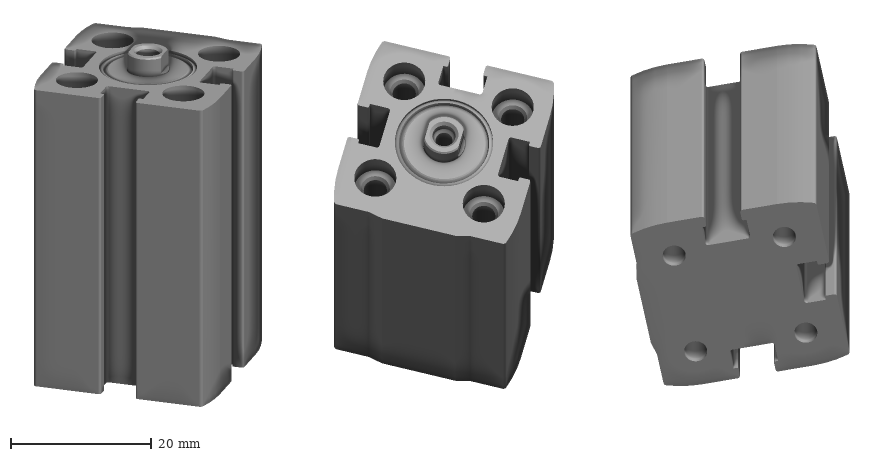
import cadquery as cq
import math

half_width = 13.5
housing_height = 45.5
side_flat_half = 8.0
side_curve_radius = 17.0
corner_radius = 0.5
crown_height = 0.5
crown_flat_half = 5.4
crown_foot_half = 7.5

slot_mouth_width = 5.2
slot_inner_width = 6.5
slot_depth = 4.75
slot_lip = 1.7
slot_mouth_radius = 0.35
slot_inner_radius = 0.4
slot_lip_radius = 0.2

screw_spacing = 16.0
screw_hole_diameter = 3.3
screw_chamfer_diameter = 4.13
counterbore_diameter = 6.0
counterbore_depth = 3.5

cap_seat_diameter = 14.0
cap_seat_drop = 0.5
cap_rim_diameter = 12.9
cap_rim_drop = 0.2
cap_groove_diameter = 12.6
cap_groove_drop = 0.7
cap_shoulder_diameter = 11.8
cap_shoulder_drop = 0.4
cap_face_diameter = 11.4
cap_face_drop = 0.3
cap_hole_chamfer = 0.1

rod_diameter = 6.0
rod_top = 48.0
rod_chamfer = 0.2
rod_flats_width = 5.0
rod_length = 20.0
flat_runout = 0.25

bore_mouth_diameter = 4.13
bore_entry_diameter = 3.3
bore_entry_depth = 1.5
bore_thread_diameter = 2.46
bore_step_height = 0.4
bore_thread_depth = 6.0
drill_half_angle = math.radians(59)

cap_face = housing_height - cap_face_drop
rod_base = rod_top - rod_length


def make_outline():
    """Outer outline of the housing, without its slots, extruded to full height."""
    curve_rise = half_width - side_flat_half
    curve_inset = side_curve_radius - math.sqrt(side_curve_radius**2 - curve_rise**2)
    middle_rise = curve_rise / 2
    middle_inset = side_curve_radius - math.sqrt(side_curve_radius**2 - middle_rise**2)
    corner_x = half_width - curve_inset
    middle_x = half_width - middle_inset
    middle_y = side_flat_half + middle_rise
    block = (
        cq.Workplane("XY")
        .moveTo(-corner_x, -half_width)
        .lineTo(corner_x, -half_width)
        .threePointArc((middle_x, -middle_y), (half_width, -side_flat_half))
        .lineTo(half_width, side_flat_half)
        .threePointArc((middle_x, middle_y), (corner_x, half_width))
        .lineTo(-corner_x, half_width)
        .threePointArc((-middle_x, middle_y), (-half_width, side_flat_half))
        .lineTo(-half_width, -side_flat_half)
        .threePointArc((-middle_x, -middle_y), (-corner_x, -half_width))
        .close()
        .extrude(housing_height)
    )
    margin = corner_radius / 2
    for x in (-corner_x, corner_x):
        for y in (-half_width, half_width):
            near_corner = cq.selectors.BoxSelector(
                (x - margin, y - margin, 0),
                (x + margin, y + margin, housing_height),
            )
            block = block.edges("|Z").edges(near_corner).fillet(corner_radius)
    crown = (
        cq.Workplane("XY")
        .moveTo(-crown_foot_half, half_width)
        .lineTo(crown_foot_half, half_width)
        .lineTo(crown_flat_half, half_width + crown_height)
        .lineTo(-crown_flat_half, half_width + crown_height)
        .close()
        .extrude(housing_height)
    )
    return block.union(crown)


def make_corner_flare(x, y, radius, inward):
    """Cutter that rounds the slot's lip corner at (x, y); the lip lies to its +Y (1) or -Y (-1) side."""
    outward = math.copysign(1, x)
    arc_mid = radius * (1 - math.sqrt(0.5))
    return (
        cq.Workplane("XY")
        .moveTo(x, y)
        .lineTo(x, y + inward * radius)
        .threePointArc((x + outward * arc_mid, y + inward * arc_mid), (x + outward * radius, y))
        .close()
        .extrude(housing_height)
    )


def make_slot():
    """Cutter for the T-slot that opens in the front face."""
    mouth = slot_mouth_width / 2
    floor = slot_depth - half_width
    shoulder = slot_lip - half_width
    chamber = (
        cq.Workplane("XY")
        .rect(slot_inner_width, slot_depth - slot_lip)
        .extrude(housing_height)
        .translate((0, (floor + shoulder) / 2, 0))
        .edges("|Z and >Y")
        .fillet(slot_inner_radius)
    )
    opening = (
        cq.Workplane("XY")
        .rect(slot_mouth_width, slot_lip)
        .extrude(housing_height)
        .translate((0, (shoulder - half_width) / 2, 0))
    )
    slot = chamber.union(opening)
    for x in (-mouth, mouth):
        slot = slot.union(make_corner_flare(x, -half_width, slot_mouth_radius, 1))
        slot = slot.union(make_corner_flare(x, shoulder, slot_lip_radius, -1))
    return slot


def revolve_profile(points):
    """Solid of revolution about Z from (radius, height) points."""
    return cq.Workplane("XZ").polyline(points).close().revolve(360, (0, 0, 0), (0, 1, 0))


def make_screw_hole():
    """Cutter for one through hole with its chamfer and counterbore."""
    ledge = housing_height - counterbore_depth
    hole = screw_hole_diameter / 2
    chamfer = screw_chamfer_diameter / 2
    bore = counterbore_diameter / 2
    return revolve_profile([
        (0, 0),
        (hole, 0),
        (hole, ledge - (chamfer - hole)),
        (chamfer, ledge),
        (bore, ledge),
        (bore, housing_height),
        (0, housing_height),
    ])


def make_cap_recess():
    """Cutter that leaves the cap's flat face, bevelled shoulder, V-groove and sharp rim."""
    seat = cap_seat_diameter / 2
    rod_hole = rod_diameter / 2
    return revolve_profile([
        (0, cap_face - cap_hole_chamfer),
        (rod_hole, cap_face - cap_hole_chamfer),
        (rod_hole + cap_hole_chamfer, cap_face),
        (cap_face_diameter / 2, cap_face),
        (cap_shoulder_diameter / 2, housing_height - cap_shoulder_drop),
        (cap_groove_diameter / 2, housing_height - cap_groove_drop),
        (cap_rim_diameter / 2, housing_height - cap_rim_drop),
        (seat, housing_height - cap_seat_drop),
        (seat, housing_height),
        (0, housing_height),
    ])


def make_housing():
    housing = make_outline()
    for angle in (-90, 0, 90):
        housing = housing.cut(make_slot().rotate((0, 0, 0), (0, 0, 1), angle))
    for x in (-screw_spacing / 2, screw_spacing / 2):
        for y in (-screw_spacing / 2, screw_spacing / 2):
            housing = housing.cut(make_screw_hole().translate((x, y, 0)))
    rod_hole = cq.Workplane("XY").workplane(offset=rod_base).circle(rod_diameter / 2).extrude(rod_length)
    return housing.cut(make_cap_recess()).cut(rod_hole)


def make_rod_bore():
    """Cutter for the rod's threaded bore with a chamfered entry and a drill-point bottom."""
    mouth = bore_mouth_diameter / 2
    entry = bore_entry_diameter / 2
    thread = bore_thread_diameter / 2
    entry_bottom = rod_top - bore_entry_depth
    thread_bottom = rod_top - bore_thread_depth
    return revolve_profile([
        (0, rod_top),
        (mouth, rod_top),
        (entry, rod_top - (mouth - entry)),
        (entry, entry_bottom),
        (thread, entry_bottom - bore_step_height),
        (thread, thread_bottom),
        (0, thread_bottom - thread / math.tan(drill_half_angle)),
    ])


def make_rod():
    radius = rod_diameter / 2
    rod = (
        cq.Workplane("XY")
        .workplane(offset=rod_base)
        .circle(radius)
        .extrude(rod_length)
        .faces(">Z")
        .chamfer(rod_chamfer)
    )
    flat = rod_flats_width / 2
    for side in (-1, 1):
        flat_cutter = (
            cq.Workplane("XZ")
            .moveTo(side * flat, cap_face + flat_runout)
            .lineTo(side * radius, cap_face)
            .lineTo(side * radius, rod_top)
            .lineTo(side * flat, rod_top)
            .close()
            .extrude(radius, both=True)
        )
        rod = rod.cut(flat_cutter)
    return rod.cut(make_rod_bore())


housing = make_housing()
rod = make_rod()

result = cq.Compound.makeCompound([housing.val(), rod.val()])